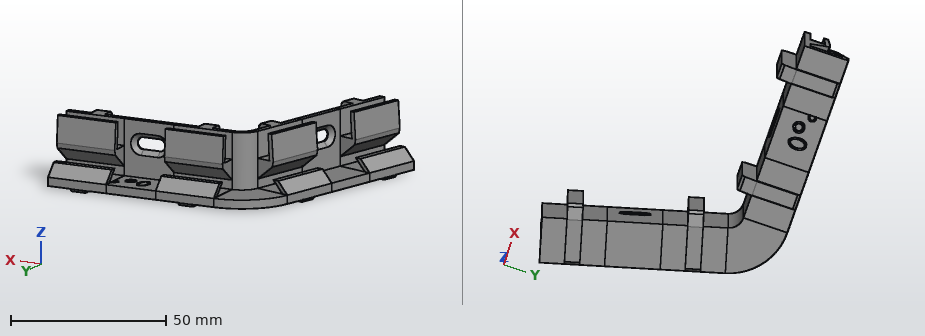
import cadquery as cq
import math


OVERALL_LENGTH = 95.6
ARM_ANGLE = 105.8
TURN_ANGLE = 180.0 - ARM_ANGLE
ARM_WIDTH = 15.0
HEIGHT = 22.0
BASE_THICKNESS = 3.0
WALL_THICKNESS = 2.0
INNER_RADIUS = 5.0
OUTER_RADIUS = INNER_RADIUS + ARM_WIDTH

TURN = math.radians(TURN_ANGLE)
ARM_LENGTH = (OVERALL_LENGTH - OUTER_RADIUS * math.sin(TURN)) / (1 + math.cos(TURN))
CLIP_LENGTH = 21.0
MIDDLE_LENGTH = ARM_LENGTH - 2 * CLIP_LENGTH

CLIP_POSITIONS = (CLIP_LENGTH / 2, ARM_LENGTH - CLIP_LENGTH / 2)
MIDDLE_POSITION = ARM_LENGTH / 2

LIP_RISE = 4.0
LIP_LAND = 2.1

HOOK_ROOT_Z = 6.1
HOOK_SLOPE_END = (8.4, 11.2)
HOOK_TOP_OUTSIDE = 8.1
HOOK_TOP_INSIDE = 6.6
HOOK_POCKET_FLOOR_Z = 13.0
HOOK_BULGE = 8.8
HOOK_POCKET_FLOOR_WIDTH = 7.1

RIB_WIDTH = 5.0
RIB_REACH = 5.0
RIB_DROP = 1.05
RIB_CHAMFER = 1.0

SLOT_LENGTH = 10.0
SLOT_HEIGHT = 4.0
SLOT_Z = 14.1
SINK_DEPTH = 1.6

OVAL_PLACE = (-1.2, 8.4)
OVAL_SIZE = (2.8, 4.9)
OVAL_GAP = 0.6
DISC_PLACE = (4.0, 7.1)
DISC_DIAMETER = 2.4
DISC_GAP = 0.7
STUD_PLACE = (8.4, 10.1)
STUD_DIAMETER = 1.7
STUD_GAP = 0.5


def extrude_profile(points, length):
    """Extrude (distance from the wall face, height) points along X, centred on X = 0."""
    profile = cq.Workplane("YZ").polyline(points).close().extrude(length / 2, both=True)
    return profile.translate((0, INNER_RADIUS, 0))


def angle_section(length):
    """Base plate with an upright wall."""
    return extrude_profile(
        [
            (0, 0),
            (ARM_WIDTH, 0),
            (ARM_WIDTH, BASE_THICKNESS),
            (WALL_THICKNESS, BASE_THICKNESS),
            (WALL_THICKNESS, HEIGHT),
            (0, HEIGHT),
        ],
        length,
    )


def lip():
    lip_top = BASE_THICKNESS + LIP_RISE
    return extrude_profile(
        [
            (ARM_WIDTH, BASE_THICKNESS),
            (ARM_WIDTH - LIP_RISE, lip_top),
            (ARM_WIDTH - LIP_RISE - LIP_LAND, lip_top),
            (ARM_WIDTH - LIP_LAND, BASE_THICKNESS),
        ],
        CLIP_LENGTH,
    )


def hook():
    return extrude_profile(
        [
            (WALL_THICKNESS, HOOK_ROOT_Z),
            HOOK_SLOPE_END,
            (HOOK_BULGE, HOOK_POCKET_FLOOR_Z),
            (HOOK_TOP_OUTSIDE, HEIGHT),
            (HOOK_TOP_INSIDE, HEIGHT),
            (HOOK_POCKET_FLOOR_WIDTH, HOOK_POCKET_FLOOR_Z),
            (WALL_THICKNESS, HOOK_POCKET_FLOOR_Z),
        ],
        CLIP_LENGTH,
    )


def rib():
    """Upright in front of the wall that carries on under the base to its outer edge."""
    foot_rise = RIB_DROP * RIB_CHAMFER / RIB_REACH
    return extrude_profile(
        [
            (0, HEIGHT),
            (RIB_CHAMFER - RIB_REACH, HEIGHT),
            (-RIB_REACH, HEIGHT - RIB_CHAMFER),
            (-RIB_REACH, RIB_CHAMFER),
            (RIB_CHAMFER - RIB_REACH, -foot_rise),
            (0, -RIB_DROP),
            (ARM_WIDTH - RIB_DROP, -RIB_DROP),
            (ARM_WIDTH, 0),
            (0, 0),
        ],
        RIB_WIDTH,
    )


def make_clip():
    return angle_section(CLIP_LENGTH).union(lip()).union(hook()).union(rib())


def screw_slot():
    """Cutter for the countersunk slot through the wall."""
    wall_face = cq.Workplane("XZ", origin=(0, INNER_RADIUS, SLOT_Z))
    slot = wall_face.slot2D(SLOT_LENGTH, SLOT_HEIGHT).extrude(-WALL_THICKNESS)
    sink_face = cq.Workplane("XZ", origin=(0, INNER_RADIUS + WALL_THICKNESS, SLOT_Z))
    sink_length = SLOT_LENGTH + 2 * SINK_DEPTH
    sink_height = SLOT_HEIGHT + 2 * SINK_DEPTH
    sink = sink_face.slot2D(sink_length, sink_height).extrude(SINK_DEPTH, taper=45)
    return slot.union(sink)


def make_middle():
    return angle_section(MIDDLE_LENGTH).cut(screw_slot())


def oval_column(place, size, margin=0.0):
    """Upright oval through the base plate, grown by the margin all round."""
    ellipse = cq.Workplane("XY").ellipse(size[0] / 2 + margin, size[1] / 2 + margin)
    column = ellipse.extrude(BASE_THICKNESS)
    return column.translate((place[0], INNER_RADIUS + place[1], 0))


def make_corner():
    """Angle section swept round the bend centre."""
    section = [
        (INNER_RADIUS, 0),
        (OUTER_RADIUS, 0),
        (OUTER_RADIUS, BASE_THICKNESS),
        (INNER_RADIUS + WALL_THICKNESS, BASE_THICKNESS),
        (INNER_RADIUS + WALL_THICKNESS, HEIGHT),
        (INNER_RADIUS, HEIGHT),
    ]
    return cq.Workplane("YZ").polyline(section).close().revolve(TURN_ANGLE, (0, 0, 0), (0, 1, 0))


def on_straight_arm(piece, position):
    return piece.translate((position, 0, 0))


def on_angled_arm(piece, position):
    return piece.translate((-position, 0, 0)).rotate((0, 0, 0), (0, 0, 1), TURN_ANGLE)


corner = make_corner()
clips = []
for clip_position in CLIP_POSITIONS:
    clips.append(on_straight_arm(make_clip(), clip_position))
    clips.append(on_angled_arm(make_clip(), clip_position))

middle_block = angle_section(MIDDLE_LENGTH)
insert_middle = make_middle()
inserts = []
for insert_place, insert_size, insert_gap in (
    (OVAL_PLACE, OVAL_SIZE, OVAL_GAP),
    (DISC_PLACE, (DISC_DIAMETER, DISC_DIAMETER), DISC_GAP),
    (STUD_PLACE, (STUD_DIAMETER, STUD_DIAMETER), STUD_GAP),
):
    insert_middle = insert_middle.cut(oval_column(insert_place, insert_size, insert_gap))
    insert = oval_column(insert_place, insert_size).intersect(middle_block)
    inserts.append(on_straight_arm(insert, MIDDLE_POSITION))
middles = [
    on_straight_arm(insert_middle, MIDDLE_POSITION),
    on_angled_arm(make_middle(), MIDDLE_POSITION),
]

result = cq.Compound.makeCompound([body.solids().val() for body in [corner, *clips, *middles, *inserts]])